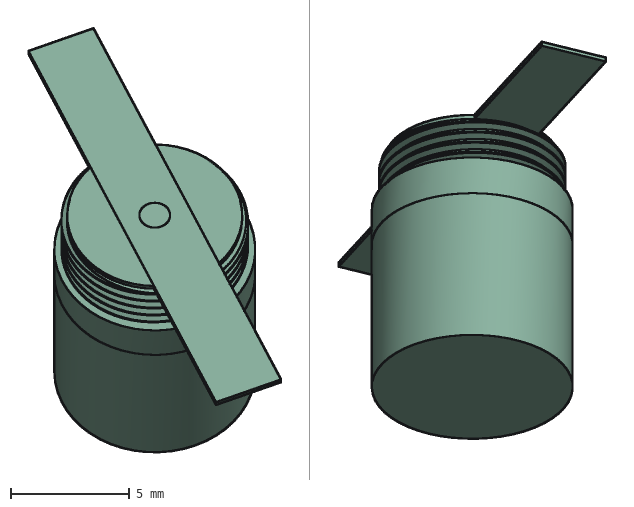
import cadquery as cq

body_diameter = 8.5
total_height = 11.2
housing_height = 7.0
collar_height = 1.75
collar_top = housing_height + collar_height

thread_major_diameter = 7.9
thread_pitch = 0.5
thread_depth = 0.54 * thread_pitch
crest_flat = thread_pitch / 8
root_flat = thread_pitch / 4
groove_start_drop = 0.45
thread_length = total_height - collar_top

land_diameter = 7.4
land_height = 0.2

strip_length = 20.0
strip_width = 3.0
strip_thickness = 0.2
pin_diameter = 1.3


def cylinder(diameter, bottom, height):
    """Upright cylinder on the Z axis."""
    return cq.Workplane("XY").workplane(offset=bottom).circle(diameter / 2).extrude(height)


def slab(bottom, height):
    """Square block wide enough to enclose any round part of the body."""
    side = 2 * body_diameter
    return cq.Workplane("XY").workplane(offset=bottom).rect(side, side).extrude(height)


def make_strip_blank():
    """Full strip without its pin hole; also the shape of its slot in the cap."""
    return (
        cq.Workplane("XY")
        .workplane(offset=total_height - strip_thickness)
        .rect(strip_length, strip_width)
        .extrude(strip_thickness)
    )


def make_thread_groove():
    """Right-handed helical groove that runs out beyond both ends of the thread."""
    overrun_turns = 2
    outer_clearance = 0.02
    major_radius = thread_major_diameter / 2
    root_radius = major_radius - thread_depth
    mouth_flat = thread_pitch - crest_flat
    flank_slope = (mouth_flat - root_flat) / 2 / thread_depth
    cutter_radius = major_radius + outer_clearance
    cutter_half_width = mouth_flat / 2 + flank_slope * outer_clearance
    start = total_height - groove_start_drop
    while start > collar_top - overrun_turns * thread_pitch:
        start -= thread_pitch
    helix_height = total_height + overrun_turns * thread_pitch - start
    helix = cq.Wire.makeHelix(thread_pitch, helix_height, root_radius)
    path = cq.Workplane(obj=helix.translate(cq.Vector(0, 0, start)))
    return (
        cq.Workplane("XZ")
        .moveTo(root_radius, start - root_flat / 2)
        .lineTo(cutter_radius, start - cutter_half_width)
        .lineTo(cutter_radius, start + cutter_half_width)
        .lineTo(root_radius, start + root_flat / 2)
        .close()
        .sweep(path, isFrenet=True)
    )


def make_threaded_stud():
    """Threaded stud with a plain land of smaller diameter at its top."""
    blank_overrun = 2.0
    threaded_rod = cylinder(
        thread_major_diameter, collar_top - blank_overrun, thread_length + 2 * blank_overrun
    ).cut(make_thread_groove())
    thread_slab = slab(collar_top, thread_length - land_height)
    thread = threaded_rod.intersect(thread_slab)
    land = cylinder(land_diameter, total_height - land_height, land_height)
    return thread.union(land)


def make_housing():
    """Plain lower cylinder."""
    return cylinder(body_diameter, 0, housing_height)


def make_cap():
    """Collar with the threaded stud, slotted across the top for the strip."""
    collar = cylinder(body_diameter, housing_height, collar_height)
    return collar.union(make_threaded_stud()).cut(make_strip_blank())


def make_pin():
    """Centre pin that fills the hole in the strip."""
    return cylinder(pin_diameter, total_height - strip_thickness, strip_thickness)


def make_strip():
    """Flat strip with a hole for the pin."""
    return make_strip_blank().cut(make_pin())


housing = make_housing()
cap = make_cap()
strip = make_strip()
pin = make_pin()

result = cq.Compound.makeCompound([housing.val(), *cap.solids().vals(), strip.val(), pin.val()])